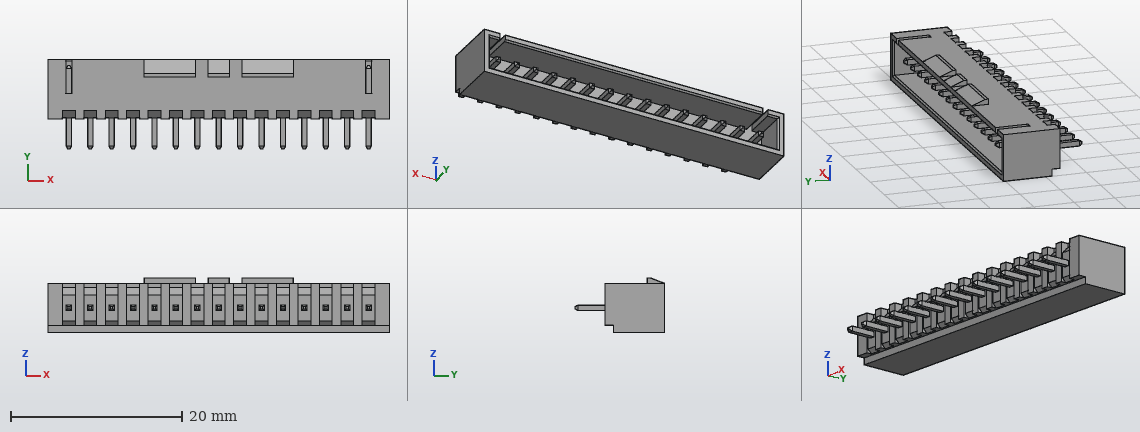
import cadquery as cq


pin_count = 15
pitch = 2.5
pin_size = 0.64
pin_protrusion = 3.5
pin_z = 2.9
tip_length = 0.35
tip_size = 0.24
mating_tip_setback = 0.75

end_margin = 2.45
length = (pin_count - 1) * pitch + 2 * end_margin
depth = 7.0
height = 5.75
step_depth = 1.0
step_height = 0.85

wall = 0.8
cavity_depth = 4.0
mouth_chamfer = 0.2
slot_width = 0.7

recess_width = 1.5
recess_depth = step_depth
recess_face_depth = 0.17
recess_top_drop = 0.5
upper_slope_height = recess_depth - recess_face_depth
lower_slope_height = 0.5

latch_height = 0.64
latch_slope_length = 1.65
latch_flat_length = 0.4
center_latch_width = 2.5
side_latch_width = 6.0
latch_gap = 1.45

first_pin_x = -(pin_count - 1) * pitch / 2
last_pin_x = -first_pin_x
pin_positions = [first_pin_x + i * pitch for i in range(pin_count)]


def extrude_along_x(points, width, center_x):
    """Extrude a (Y, Z) outline to the given width, centred on center_x."""
    return (
        cq.Workplane("YZ", origin=(center_x - width / 2, 0, 0))
        .polyline(points)
        .close()
        .extrude(width)
    )


def make_cavity():
    """Rectangular cavity with a 45 degree lead-in all round its mouth."""
    cavity_length = length - 2 * wall
    cavity_height = height - 2 * wall
    cavity = cq.Workplane("XY").box(cavity_length, cavity_depth, cavity_height)
    cavity = cavity.translate((0, depth - cavity_depth / 2, height / 2))
    lead_in = (
        cavity.faces(">Y")
        .workplane(offset=-mouth_chamfer, centerOption="CenterOfMass")
        .rect(cavity_length, cavity_height)
        .workplane(offset=mouth_chamfer)
        .rect(cavity_length + 2 * mouth_chamfer, cavity_height + 2 * mouth_chamfer)
        .loft(combine=False)
    )
    return cavity.union(lead_in)


def make_housing():
    """Box with a stepped lower edge on the solder side and a cavity on the mating side."""
    outline = [
        (step_depth, 0),
        (depth, 0),
        (depth, height),
        (0, height),
        (0, step_height),
        (step_depth, step_height),
    ]
    return extrude_along_x(outline, length, 0).cut(make_cavity())


def make_recess(x):
    """Relief in front of one pin: deep at the top, shallow at the pin, sloping back below."""
    slope_top = height - recess_top_drop
    face_top = slope_top - upper_slope_height
    face_bottom = step_height + lower_slope_height
    outline = [
        (0, height),
        (recess_depth, height),
        (recess_depth, slope_top),
        (recess_face_depth, face_top),
        (recess_face_depth, face_bottom),
        (recess_face_depth + lower_slope_height, step_height),
        (0, step_height),
    ]
    return extrude_along_x(outline, recess_width, x)


def make_slot(x):
    """Slot through the top wall, open at the mating end."""
    outline = [
        (depth - cavity_depth, height - wall),
        (depth, height - wall),
        (depth, height),
        (depth - cavity_depth, height),
    ]
    return extrude_along_x(outline, slot_width, x)


def make_latch(center_x, width):
    """Wedge rising from the mating end to a short flat crest."""
    crest_start = depth - latch_slope_length
    crest_end = crest_start - latch_flat_length
    outline = [
        (depth, height),
        (crest_start, height + latch_height),
        (crest_end, height + latch_height),
        (crest_end, height),
    ]
    return extrude_along_x(outline, width, center_x)


def add_tip(shank, face):
    """Taper one end of a square pin down to a smaller square."""
    taper = (
        shank.faces(face)
        .workplane(centerOption="CenterOfMass")
        .rect(pin_size, pin_size)
        .workplane(offset=tip_length)
        .rect(tip_size, tip_size)
        .loft(combine=False)
    )
    return shank.union(taper)


def make_pin(x):
    """Square pin through the housing with a taper at each end."""
    start = tip_length - pin_protrusion
    end = depth - mating_tip_setback - tip_length
    shank = cq.Workplane("XY").box(pin_size, end - start, pin_size)
    shank = shank.translate((x, (start + end) / 2, pin_z))
    return add_tip(add_tip(shank, "<Y"), ">Y")


result = make_housing()

for pin_x in pin_positions:
    result = result.cut(make_recess(pin_x))

for slot_x in (first_pin_x, last_pin_x):
    result = result.cut(make_slot(slot_x))

side_latch_x = center_latch_width / 2 + latch_gap + side_latch_width / 2
result = result.union(make_latch(0, center_latch_width))
for side in (-1, 1):
    result = result.union(make_latch(side * side_latch_x, side_latch_width))

for pin_x in pin_positions:
    result = result.union(make_pin(pin_x))